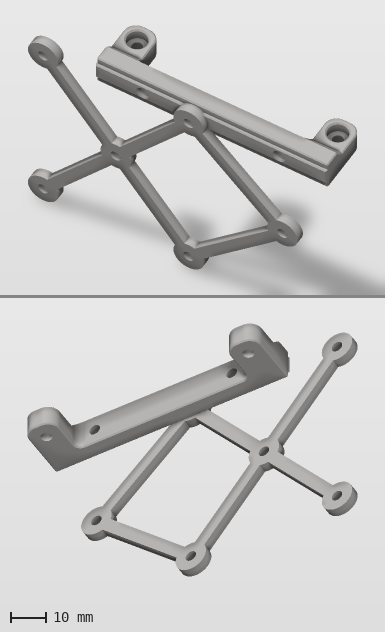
import cadquery as cq
import math


plate_thickness = 3.0
node_diameter = 10.0
node_hole_diameter = 3.4
arm_width = 4.0
cell_half_width = 24.0
closing_reach = 31.0
cell_half_height = 29.6

rail_left = 20.9
rail_right = 97.25
rail_length = rail_right - rail_left
rail_top = 70.0
rail_height = 10.0
rail_bottom = rail_top - rail_height
rail_front = plate_thickness
bar_depth = 5.2
bar_back = rail_front + bar_depth
rail_back = 22.0
edge_chamfer = 0.4

lug_width = 10.0
lug_drop = 3.0
lug_top = rail_top - lug_drop
lug_corner_radius = 3.9
lug_root_radius = 2.1
lug_hole_diameter = 3.4
lug_bore_diameter = 6.5
lug_bore_depth = 3.4
bore_chamfer = 0.5

rib_depth = 0.9
rib_front = rail_front - rib_depth
rib_top = rail_top - 2.0
rib_face_bottom = rail_top - 7.1
rib_edge_chamfer = 0.4

bar_hole_diameter = 3.4
bar_hole_inset = 15.7
bar_hole_chamfer = 0.4

rail_middle = (rail_left + rail_right) / 2
lug_hole_xs = [rail_left + lug_width / 2, rail_right - lug_width / 2]
lug_hole_y = rail_back - lug_width / 2
bar_hole_xs = [rail_left + bar_hole_inset, rail_right - bar_hole_inset]
bar_hole_z = rail_bottom + rail_height / 2

left_x = node_diameter / 2
crossing_x = left_x + cell_half_width
right_x = crossing_x + cell_half_width
lower_z = node_diameter / 2
middle_z = lower_z + cell_half_height
upper_z = middle_z + cell_half_height
lower_left = (left_x, lower_z)
upper_left = (left_x, upper_z)
crossing = (crossing_x, middle_z)
lower_right = (right_x, lower_z)
upper_right = (right_x, upper_z)
closing = (right_x + closing_reach, middle_z)


def make_rib():
    """Rib with a bevelled upper edge, a 45 degree underside and bevelled ends."""
    return (
        cq.Workplane("YZ", origin=(rail_left, 0, 0))
        .moveTo(rail_front, rib_top)
        .lineTo(rib_front + rib_edge_chamfer, rib_top)
        .lineTo(rib_front, rib_top - rib_edge_chamfer)
        .lineTo(rib_front, rib_face_bottom)
        .lineTo(rail_front, rib_face_bottom - rib_depth)
        .close()
        .extrude(rail_length)
        .faces("<X or >X")
        .edges("<Y")
        .chamfer(edge_chamfer)
    )


def make_rail_blank():
    """Bar and lugs, with the space between the lugs removed and the outer edges bevelled."""
    blank = (
        cq.Workplane("YZ", origin=(rail_left, 0, 0))
        .moveTo(rail_front, rail_bottom)
        .lineTo(rail_front, rail_top)
        .lineTo(bar_back, rail_top)
        .lineTo(bar_back + lug_drop, lug_top)
        .lineTo(rail_back, lug_top)
        .lineTo(rail_back, rail_bottom)
        .close()
        .extrude(rail_length)
    )
    gap_depth = rail_back - bar_back
    gap = (
        cq.Workplane("XY", origin=(rail_middle, bar_back + gap_depth / 2, rail_bottom))
        .rect(rail_length - 2 * lug_width, gap_depth)
        .extrude(rail_height)
        .edges("|Z and <Y")
        .fillet(lug_root_radius)
    )
    blank = blank.cut(gap).edges("|Z and >Y").fillet(lug_corner_radius)
    end_and_bottom_edges = blank.faces("<Z or <X or >X").edges()
    front_top_edge = blank.edges("|X and >Z and <Y")
    return end_and_bottom_edges.add(front_top_edge).chamfer(edge_chamfer)


def make_lug_bore(x):
    """Screw hole through a lug, with a bevelled counterbore from above."""
    hole_radius = lug_hole_diameter / 2
    bore_radius = lug_bore_diameter / 2
    bore_bottom = lug_top - lug_bore_depth
    return (
        cq.Workplane("XZ", origin=(x, lug_hole_y, 0))
        .moveTo(0, rail_bottom)
        .lineTo(hole_radius, rail_bottom)
        .lineTo(hole_radius, bore_bottom)
        .lineTo(bore_radius, bore_bottom)
        .lineTo(bore_radius, lug_top - bore_chamfer)
        .lineTo(bore_radius + bore_chamfer, lug_top)
        .lineTo(0, lug_top)
        .close()
        .revolve(360, (0, 0, 0), (0, 1, 0))
    )


def make_bar_hole(x):
    """Hole through the bar from front to back, bevelled where it opens on the rib."""
    hole_radius = bar_hole_diameter / 2
    return (
        cq.Workplane("XY", origin=(x, 0, bar_hole_z))
        .moveTo(0, rib_front)
        .lineTo(hole_radius + bar_hole_chamfer, rib_front)
        .lineTo(hole_radius, rib_front + bar_hole_chamfer)
        .lineTo(hole_radius, bar_back)
        .lineTo(0, bar_back)
        .close()
        .revolve(360, (0, 0, 0), (0, 1, 0))
    )


def make_rail():
    """Rail with its rib, lug bores and cross holes."""
    rail = make_rail_blank().union(make_rib())
    for x in lug_hole_xs:
        rail = rail.cut(make_lug_bore(x))
    for x in bar_hole_xs:
        rail = rail.cut(make_bar_hole(x))
    return rail


def make_arm(start, end):
    """Straight arm between two node centers given as (x, z)."""
    run = end[0] - start[0]
    rise = end[1] - start[1]
    return (
        cq.Workplane("XY")
        .box(math.hypot(run, rise), plate_thickness, arm_width)
        .rotate((0, 0, 0), (0, 1, 0), -math.degrees(math.atan2(rise, run)))
        .translate(((start[0] + end[0]) / 2, plate_thickness / 2, (start[1] + end[1]) / 2))
    )


def make_node_disc(center, diameter):
    """Disc as thick as the plate, centered on a node."""
    return (
        cq.Workplane("XZ", origin=(center[0], 0, center[1]))
        .circle(diameter / 2)
        .extrude(-plate_thickness)
    )


def make_linkage():
    """Flat plate of arms and nodes, grooved behind the upper node to take the rib."""
    nodes = [lower_left, upper_left, crossing, lower_right, upper_right, closing]
    arms = [
        (lower_left, upper_right),
        (upper_left, lower_right),
        (upper_right, closing),
        (lower_right, closing),
    ]
    linkage = make_node_disc(crossing, node_diameter)
    for start, end in arms:
        linkage = linkage.union(make_arm(start, end))
    for node in nodes:
        linkage = linkage.union(make_node_disc(node, node_diameter))
    for node in nodes:
        linkage = linkage.cut(make_node_disc(node, node_hole_diameter))
    return linkage.cut(make_rib())


rail = make_rail()
linkage = make_linkage()
result = cq.Compound.makeCompound([rail.val(), linkage.val()])